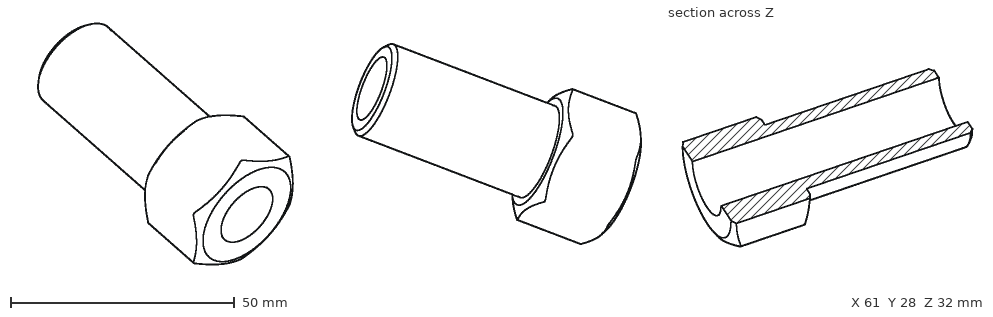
import cadquery as cq
import math

total_length = 61.0
tube_diameter = 21.95
bore_diameter = 15.0
tube_chamfer = 1.0

head_length = 19.6
across_flats = 28.0
corner_radius = 1.0
end_face_diameter = 25.5
bevel_angle = 30.0

across_corners = across_flats / math.cos(math.radians(30))
head_start = total_length - head_length


def make_tube():
    """Round tube with a chamfered free end, running into the head."""
    tube = cq.Workplane("YZ").circle(tube_diameter / 2).extrude(total_length)
    return tube.faces("<X").chamfer(tube_chamfer)


def make_bevel_envelope():
    """Turned body whose conical ends bevel the corners of the head."""
    face_radius = end_face_diameter / 2
    outer_radius = across_corners / 2
    bevel_length = (outer_radius - face_radius) * math.tan(math.radians(bevel_angle))
    profile = [
        (head_start, 0),
        (head_start, face_radius),
        (head_start + bevel_length, outer_radius),
        (total_length - bevel_length, outer_radius),
        (total_length, face_radius),
        (total_length, 0),
    ]
    return cq.Workplane("XY").polyline(profile).close().revolve(360, (0, 0, 0), (1, 0, 0))


def make_head():
    """Hexagon with corners on the Z axis, rounded edges and beveled ends."""
    hexagon = (
        cq.Workplane("YZ", origin=(head_start, 0, 0))
        .transformed(rotate=(0, 0, 90))
        .polygon(6, across_corners)
        .extrude(head_length)
        .edges("|X")
        .fillet(corner_radius)
    )
    return hexagon.intersect(make_bevel_envelope())


bore = cq.Workplane("YZ").circle(bore_diameter / 2).extrude(total_length)

result = make_tube().union(make_head()).cut(bore)